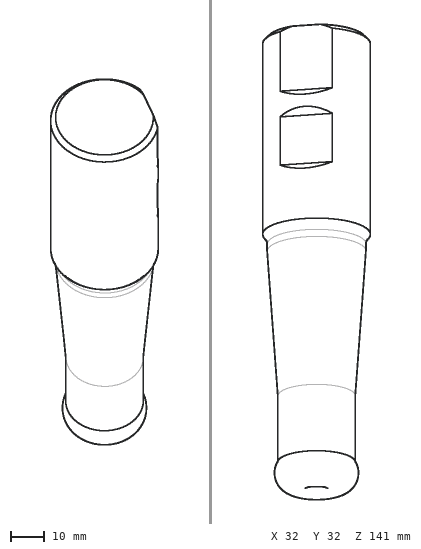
import cadquery as cq
import math

total_length = 141.0
neck_top = 30.0
taper_top = 75.0
collar_top = 77.2
shank_bottom = 80.2

shank_radius = 32.0 / 2
collar_radius = 29.37 / 2
neck_radius = 23.04 / 2
cutting_radius = 25.0 / 2

edge_radius = 6.0
ring_radius = cutting_radius - edge_radius
neck_bottom = edge_radius + math.sqrt(edge_radius**2 - (neck_radius - ring_radius) ** 2)

shank_chamfer = 1.5
flat_offset = 13.9
land_top = 121.0
land_bottom = 113.0
lower_flat_bottom = 98.0
flat_end_slope = 45.0


def make_cutting_ring():
    """Ring swept by the round cutting edges."""
    return (
        cq.Workplane("XZ")
        .center(ring_radius, edge_radius)
        .circle(edge_radius)
        .revolve(360, (-ring_radius, 0, 0), (-ring_radius, 1, 0))
    )


def make_flat_cutter(bottom, top, bottom_flare, top_flare):
    """Prism that cuts a clamping flat; a flare leans its end wall outward."""
    depth = shank_radius - flat_offset
    return (
        cq.Workplane("YZ")
        .polyline(
            [
                (flat_offset, bottom),
                (flat_offset + depth, bottom - bottom_flare),
                (flat_offset + depth, top + top_flare),
                (flat_offset, top),
            ]
        )
        .close()
        .extrude(shank_radius, both=True)
    )


def make_holder(cutting_ring):
    """Tapered holder with a chamfered shank, two clamping flats and a seat for the ring."""
    fillet_height = shank_bottom - collar_top
    shoulder = shank_radius - collar_radius
    fillet_angle = 2 * math.atan(shoulder / fillet_height)
    fillet_radius = fillet_height / math.sin(fillet_angle)
    fillet_middle = (
        collar_radius + fillet_radius * (1 - math.cos(fillet_angle / 2)),
        collar_top + fillet_radius * math.sin(fillet_angle / 2),
    )
    holder = (
        cq.Workplane("XZ")
        .moveTo(0, neck_bottom)
        .lineTo(neck_radius, neck_bottom)
        .lineTo(neck_radius, neck_top)
        .lineTo(collar_radius, taper_top)
        .lineTo(collar_radius, collar_top)
        .threePointArc(fillet_middle, (shank_radius, shank_bottom))
        .lineTo(shank_radius, total_length - shank_chamfer)
        .lineTo(shank_radius - shank_chamfer, total_length)
        .lineTo(0, total_length)
        .close()
        .revolve(360, (0, 0, 0), (0, 1, 0))
    )
    end_flare = (shank_radius - flat_offset) * math.tan(math.radians(90 - flat_end_slope))
    upper_flat = make_flat_cutter(land_top, total_length, end_flare, 0)
    lower_flat = make_flat_cutter(lower_flat_bottom, land_bottom, end_flare, end_flare)
    return holder.cut(upper_flat).cut(lower_flat).cut(cutting_ring)


cutting_ring = make_cutting_ring()
holder = make_holder(cutting_ring)

result = cq.Compound.makeCompound([holder.val(), cutting_ring.val()])